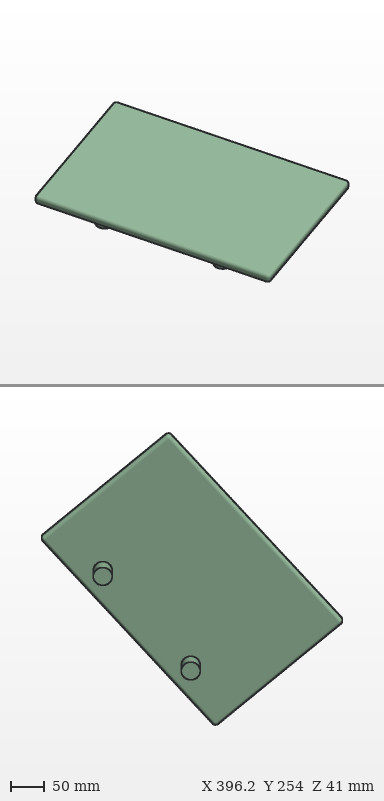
import cadquery as cq

length = 396.2
width = 254.0
total_height = 41.0
plate_thickness = 16.0
edge_radius = 6.0

foot_diameter = 28.0
foot_height = total_height - plate_thickness
foot_spacing = 199.0
foot_row_offset = 89.0


def rounded_plate():
    """Plate resting on Z = 0, with all its edges and corners rounded."""
    plate = cq.Workplane("XY").box(length, width, plate_thickness, centered=(True, True, False))
    return plate.edges().fillet(edge_radius)


def feet():
    """Pair of plain cylinders hanging below the plate."""
    centers = [(side * foot_spacing / 2, -foot_row_offset) for side in (-1, 1)]
    return (
        cq.Workplane("XY")
        .pushPoints(centers)
        .circle(foot_diameter / 2)
        .extrude(-foot_height)
    )


result = rounded_plate().union(feet())